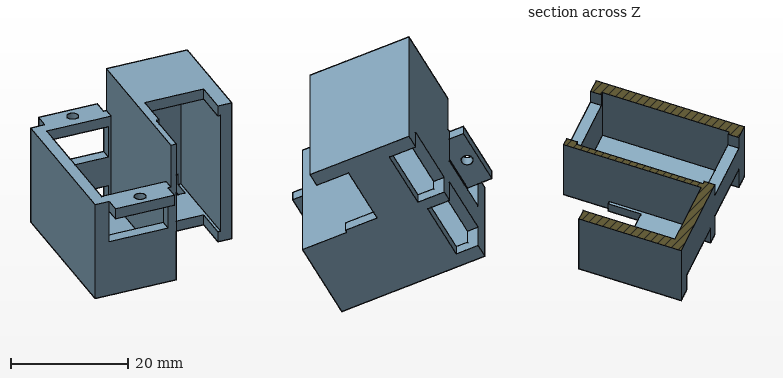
import cadquery as cq


total_length = 32.5
total_depth = 29.2
rear_height = 27.2
body_length = 27.25
front_height = 18.82

wall = 2.0
front_wall = 2.1
pocket_width = 12.0
partition = 1.0
rear_length = 18.82

opening_width = 10.95
window_height = 6.05
front_slot_length = 4.15
front_slot_height = 5.0
rear_slot_length = front_slot_height
rear_slot_height = 4.0

tab_thickness = 2.0
hole_diameter = 2.0
hole_inset = 2.0

body_left = -body_length / 2
body_right = body_length / 2
rear_right = body_left + rear_length
front_pocket_back = front_wall + pocket_width
rear_pocket_front = front_pocket_back + partition
front_middle = front_wall + pocket_width / 2
rear_middle = rear_pocket_front + pocket_width / 2


def block(x_range, y_range, z_range):
    """Box spanning the given (low, high) range on each axis."""
    size = [high - low for low, high in (x_range, y_range, z_range)]
    corner = (x_range[0], y_range[0], z_range[0])
    return cq.Workplane("XY").box(*size, centered=False).translate(corner)


def opening_range(middle):
    """Y range of an opening centred on a pocket."""
    return (middle - opening_width / 2, middle + opening_width / 2)


front_opening = opening_range(front_middle)
rear_opening = opening_range(rear_middle)


def outer_body():
    front = block((body_left, body_right), (0, rear_pocket_front), (0, front_height))
    divider_range = (front_pocket_back, rear_pocket_front)
    divider = block((body_left, body_right), divider_range, (0, rear_height))
    rear = block((body_left, rear_right), (front_pocket_back, total_depth), (0, rear_height))
    return front.union(divider).union(rear)


def pockets():
    front = block(
        (body_left + wall, body_right - wall),
        (front_wall, front_pocket_back),
        (wall, front_height),
    )
    rear = block(
        (body_left + wall, rear_right),
        (rear_pocket_front, rear_pocket_front + pocket_width),
        (wall, rear_height - wall),
    )
    return front.union(rear)


def end_windows():
    """Windows under the tabs, and the matching notches in the rear roof and floor."""
    window_top = front_height - tab_thickness
    left_window = block(
        (body_left, body_left + wall), front_opening, (window_top - window_height, window_top)
    )
    right_window = left_window.mirror("YZ")
    rear_notch = block((rear_right - window_height, rear_right), rear_opening, (0, rear_height))
    return left_window.union(right_window).union(rear_notch)


def cable_slots():
    """Slots through the lower -X edge into each pocket."""
    front = block((body_left, body_left + front_slot_length), front_opening, (0, front_slot_height))
    rear = block((body_left, body_left + rear_slot_length), rear_opening, (0, rear_slot_height))
    return front.union(rear)


def mounting_tabs():
    tab_bottom = front_height - tab_thickness
    tab = block((-total_length / 2, body_left + wall), front_opening, (tab_bottom, front_height))
    return tab.union(tab.mirror("YZ"))


def tab_holes():
    hole_x = total_length / 2 - hole_inset
    return (
        cq.Workplane("XY", origin=(0, 0, front_height - tab_thickness))
        .pushPoints([(-hole_x, front_middle), (hole_x, front_middle)])
        .circle(hole_diameter / 2)
        .extrude(tab_thickness)
    )


result = outer_body().cut(pockets()).cut(end_windows()).cut(cable_slots())
result = result.union(mounting_tabs()).cut(tab_holes())